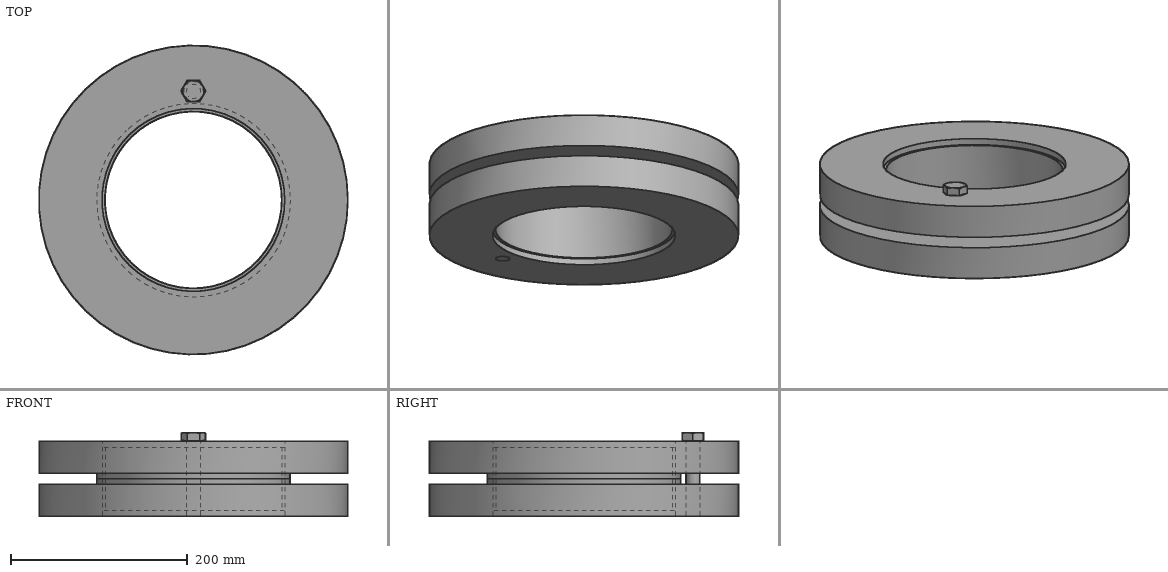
import cadquery as cq
import math

FLANGE_DIAMETER = 350.0
FLANGE_THICKNESS = 36.5
FLANGE_BORE = 207.0
RAISED_FACE_DIAMETER = 219.0
FLANGE_GAP = 12.2
RAISED_FACE_HEIGHT = FLANGE_GAP / 2

SLEEVE_BORE = 200.0
SLEEVE_SETBACK = 7.0

BOLT_OFFSET = 123.2
SHANK_DIAMETER = 16.0
HEAD_SIDES = 6
HEAD_ACROSS_FLATS = 24.0
HEAD_HEIGHT = 9.8
WASHER_FACE_DIAMETER = 22.0
WASHER_FACE_HEIGHT = 0.7
HEAD_TOP_DIAMETER = HEAD_ACROSS_FLATS
HEAD_CHAMFER_ANGLE = 30.0

STACK_HEIGHT = 2 * FLANGE_THICKNESS + FLANGE_GAP


def make_flange():
    """Lower flange: outer face at Z = 0 and raised face pointing up."""
    height = FLANGE_THICKNESS + RAISED_FACE_HEIGHT
    disc = cq.Workplane("XY").circle(FLANGE_DIAMETER / 2).extrude(FLANGE_THICKNESS)
    raised_face = cq.Workplane("XY").circle(RAISED_FACE_DIAMETER / 2).extrude(height)
    bore = cq.Workplane("XY").circle(FLANGE_BORE / 2).extrude(height)
    bolt_hole = cq.Workplane("XY").center(0, BOLT_OFFSET).circle(SHANK_DIAMETER / 2).extrude(height)
    return disc.union(raised_face).cut(bore).cut(bolt_hole)


def make_sleeve():
    """Plain ring that fills the flange bores between the two setbacks."""
    return (
        cq.Workplane("XY")
        .workplane(offset=SLEEVE_SETBACK)
        .circle(FLANGE_BORE / 2)
        .circle(SLEEVE_BORE / 2)
        .extrude(STACK_HEIGHT - 2 * SLEEVE_SETBACK)
    )


def make_head():
    """Hexagon head with its base at Z = 0 and its top corners turned to a cone."""
    across_corners = HEAD_ACROSS_FLATS / math.cos(math.pi / HEAD_SIDES)
    corner_radius = across_corners / 2
    top_radius = HEAD_TOP_DIAMETER / 2
    chamfer_drop = (corner_radius - top_radius) * math.tan(math.radians(HEAD_CHAMFER_ANGLE))
    hexagon = (
        cq.Workplane("XY")
        .workplane(offset=WASHER_FACE_HEIGHT)
        .polygon(HEAD_SIDES, across_corners)
        .extrude(HEAD_HEIGHT - WASHER_FACE_HEIGHT)
    )
    turned_envelope = (
        cq.Workplane("XZ")
        .polyline([
            (0, 0),
            (corner_radius, 0),
            (corner_radius, HEAD_HEIGHT - chamfer_drop),
            (top_radius, HEAD_HEIGHT),
            (0, HEAD_HEIGHT),
        ])
        .close()
        .revolve(360, (0, 0), (0, 1))
    )
    washer_face = cq.Workplane("XY").circle(WASHER_FACE_DIAMETER / 2).extrude(WASHER_FACE_HEIGHT)
    return hexagon.intersect(turned_envelope).union(washer_face)


def make_bolt():
    """Bolt with its head on the upper flange and its shank ending flush below."""
    shank = cq.Workplane("XY").circle(SHANK_DIAMETER / 2).extrude(STACK_HEIGHT)
    head = make_head().translate((0, 0, STACK_HEIGHT))
    return shank.union(head).translate((0, BOLT_OFFSET, 0))


lower_flange = make_flange()
upper_flange = make_flange().mirror("XY").translate((0, 0, STACK_HEIGHT))
sleeve = make_sleeve()
bolt = make_bolt()

result = cq.Compound.makeCompound([
    lower_flange.val(),
    upper_flange.val(),
    sleeve.val(),
    bolt.val(),
])